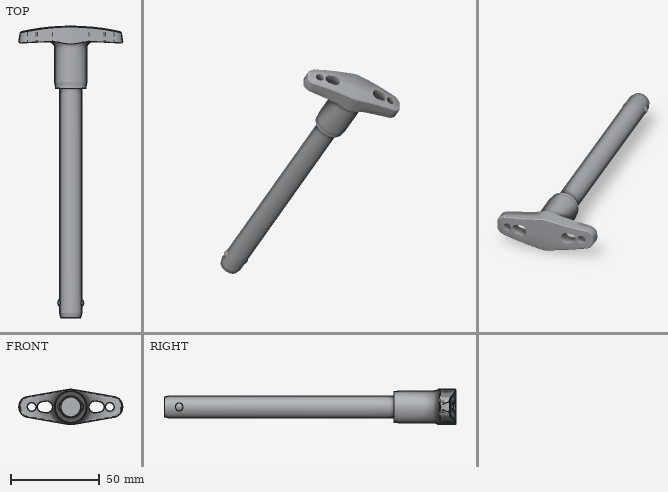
import cadquery as cq
import math


total_length = 165.7
head_length = 35.4
crown_y = head_length
tip_y = head_length - total_length

handle_length = 59.1
handle_width = 20.16
handle_depth = 9.7
side_angle = math.radians(10)
hub_radius = handle_width / 2
half_length = handle_length / 2
side_sine = math.sin(side_angle)
end_radius = (hub_radius - half_length * side_sine) / (1 - side_sine)
end_x = half_length - end_radius
underside_y = crown_y - handle_depth
crown_radius = 132.0
crown_rim_chamfer = 0.5
end_rake = math.radians(9)
heel_height = 1.0
heel_inset = 0.7
heel_y = underside_y + heel_height
dish_depth = 1.0
dish_radius = (half_length**2 + dish_depth**2) / (2 * dish_depth)
dish_top_y = underside_y + dish_depth
end_hole_x = 22.2
end_hole_diameter = 4.8
slot_inner_x = 13.7
slot_inner_radius = 3.3
slot_outer_x = 16.1
slot_outer_radius = 2.9

body_radius = 9.2
flare_radius = 3.5
flare_outer_radius = body_radius + flare_radius
flare_top_y = dish_top_y - dish_radius + math.sqrt(dish_radius**2 - flare_outer_radius**2)
body_taper_start_y = 3.6
collar_radius = 8.8
collar_length = 1.5

shank_radius = 6.35
tip_length = 2.7
tip_radius = 5.6
ball_tip_distance = 8.4
ball_y = tip_y + ball_tip_distance
ball_radius = 2.6
ball_reach = 7.4


def two_circle_outline(plane, x0, r0, x1, r1):
    """Hull of two circles on the X axis, the larger (r0) at x0 and the smaller (r1) at x1 > x0."""
    tilt = math.asin((r0 - r1) / (x1 - x0))
    s = math.sin(tilt)
    c = math.cos(tilt)
    return (
        plane.moveTo(x0 + r0 * s, r0 * c)
        .lineTo(x1 + r1 * s, r1 * c)
        .threePointArc((x1 + r1, 0), (x1 + r1 * s, -r1 * c))
        .lineTo(x0 + r0 * s, -r0 * c)
        .threePointArc((x0 - r0, 0), (x0 + r0 * s, r0 * c))
        .close()
    )


def across_plane(y):
    """Sketch plane square to the pin, whose normal points to -Y."""
    return cq.Workplane("XZ", origin=(0, y, 0))


def handle_outline(length):
    """Handle outline swept from the crown toward -Y by the given length."""
    wing = two_circle_outline(across_plane(crown_y), 0, hub_radius, end_x, end_radius).extrude(length)
    return wing.union(wing.mirror("YZ"))


def make_handle():
    """Handle with a crowned top, raked ends and a shallow dish in its underside."""
    edge_drop = crown_radius - math.sqrt(crown_radius**2 - half_length**2)
    shoulder_y = crown_y - edge_drop
    shoulder_x = half_length - (shoulder_y - heel_y) * math.tan(end_rake)
    profile = (
        cq.Workplane("XY")
        .moveTo(-half_length + heel_inset, underside_y)
        .lineTo(half_length - heel_inset, underside_y)
        .lineTo(half_length, heel_y)
        .lineTo(shoulder_x, shoulder_y)
        .threePointArc((0, crown_y), (-shoulder_x, shoulder_y))
        .lineTo(-half_length, heel_y)
        .close()
        .extrude(hub_radius, both=True)
    )
    handle = handle_outline(handle_depth).intersect(profile)
    crown_rim = handle.faces(cq.selectors.NearestToPointSelector((0, crown_y, 0))).edges()
    handle = crown_rim.chamfer(crown_rim_chamfer)

    dish = cq.Workplane("XY").sphere(dish_radius).translate((0, dish_top_y - dish_radius, 0))
    return handle.cut(dish)


def cut_handle_openings(part):
    """Cut a round hole and a tapered slot through the handle on each side of the body."""
    for side in (1, -1):
        hole = across_plane(crown_y).center(end_hole_x, 0).circle(end_hole_diameter / 2)
        hole = hole.extrude(handle_depth)
        slot = two_circle_outline(
            across_plane(crown_y), slot_inner_x, slot_inner_radius, slot_outer_x, slot_outer_radius
        ).extrude(handle_depth + flare_radius)
        opening = hole.union(slot)
        part = part.cut(opening if side > 0 else opening.mirror("YZ"))
    return part


def make_pin():
    """Body, collar and shank turned about the pin axis; the top end lies inside the handle."""
    hidden_top_y = (dish_top_y + crown_y) / 2
    arc_middle_offset = flare_radius * (1 - math.cos(math.radians(45)))
    flare_middle = (body_radius + arc_middle_offset, flare_top_y - arc_middle_offset)
    return (
        cq.Workplane("XY")
        .moveTo(0, tip_y)
        .lineTo(tip_radius, tip_y)
        .lineTo(shank_radius, tip_y + tip_length)
        .lineTo(shank_radius, 0)
        .lineTo(collar_radius, 0)
        .lineTo(collar_radius, collar_length)
        .lineTo(body_radius, body_taper_start_y)
        .lineTo(body_radius, flare_top_y - flare_radius)
        .threePointArc(flare_middle, (flare_outer_radius, flare_top_y))
        .lineTo(flare_outer_radius, hidden_top_y)
        .lineTo(0, hidden_top_y)
        .close()
        .revolve(360, (0, 0, 0), (0, 1, 0))
    )


def make_ball(side):
    """Locking ball that stands proud of the shank on the +X (side 1) or -X (side -1) side."""
    ball_x = side * (ball_reach - ball_radius)
    return cq.Workplane("XY").sphere(ball_radius).translate((ball_x, ball_y, 0))


result = make_handle().union(make_pin().intersect(handle_outline(total_length)))
result = cut_handle_openings(result)
for side in (1, -1):
    result = result.union(make_ball(side))